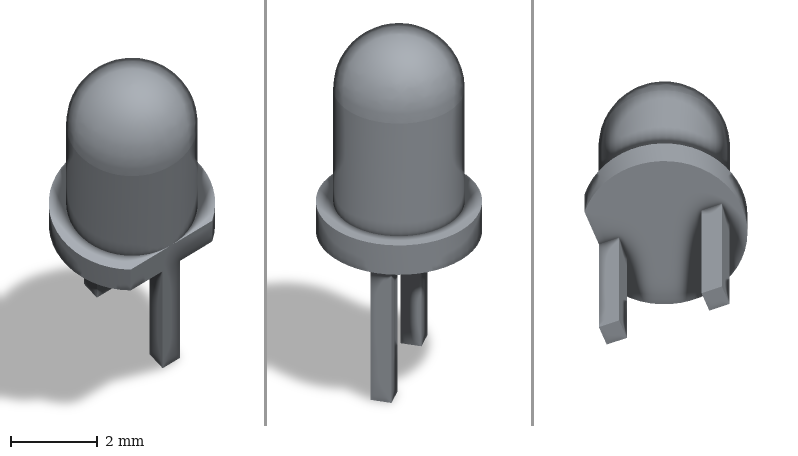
import cadquery as cq

total_height = 9.13
lead_length = 3.75
flange_thickness = 0.8
flange_diameter = 3.84
lens_diameter = 3.04
dome_fillet = 1.5
lead_width = 0.5

lens_radius = lens_diameter / 2
flange_radius = flange_diameter / 2
lead_offset = lens_radius - lead_width / 2


def make_flange():
    """Round rim with a polarity flat on +X, tangent to the lens barrel."""
    base = cq.Workplane("XY").workplane(offset=lead_length)
    disc = base.circle(flange_radius).extrude(flange_thickness)
    kept_width = flange_radius + lens_radius
    keep = (
        base.center((lens_radius - flange_radius) / 2, 0)
        .rect(kept_width, flange_diameter)
        .extrude(flange_thickness)
    )
    return disc.intersect(keep)


def make_lens():
    """Cylindrical barrel whose top edge is rounded into a dome."""
    return (
        cq.Workplane("XY")
        .workplane(offset=lead_length)
        .circle(lens_radius)
        .extrude(total_height - lead_length)
        .faces(">Z")
        .edges()
        .fillet(dome_fillet)
    )


def make_lead(x):
    """Square lead from the base plane up to the underside of the flange."""
    return cq.Workplane("XY").center(x, 0).rect(lead_width, lead_width).extrude(lead_length)


housing = make_flange().union(make_lens())
leads = [make_lead(side * lead_offset) for side in (-1, 1)]

result = cq.Compound.makeCompound([housing.val(), *[lead.val() for lead in leads]])